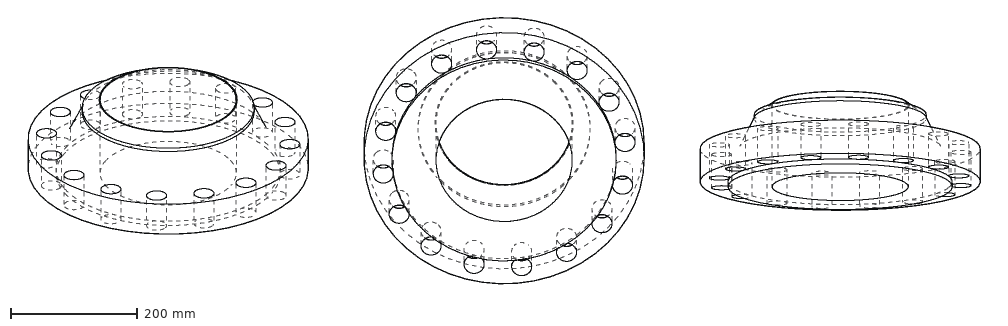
import math

import cadquery as cq


FLANGE_DIAMETER = 444.5
FLANGE_THICKNESS = 53.8
RAISED_FACE_DIAMETER = 355.6
RAISED_FACE_HEIGHT = 7.9

OVERALL_HEIGHT = 131.9
HUB_BASE_DIAMETER = 320.5
NECK_DIAMETER = 273.05
NECK_BOTTOM_Z = 110.9
HUB_FILLET_RADIUS = 3.0
BORE_DIAMETER = 215.9

ROOT_FACE_WIDTH = 1.6
BEVEL_WALL_LIMIT = 19.0
STEEP_BEVEL_ANGLE = math.radians(37.5)
SHALLOW_BEVEL_ANGLE = math.radians(10)
BEVEL_FILLET_RADIUS = 3.0

BOLT_HOLE_COUNT = 16
BOLT_HOLE_DIAMETER = 31.8
BOLT_CIRCLE_DIAMETER = 387.4

flange_radius = FLANGE_DIAMETER / 2
raised_face_radius = RAISED_FACE_DIAMETER / 2
hub_base_radius = HUB_BASE_DIAMETER / 2
neck_radius = NECK_DIAMETER / 2
bore_radius = BORE_DIAMETER / 2
flange_top_z = RAISED_FACE_HEIGHT + FLANGE_THICKNESS
root_face_radius = bore_radius + ROOT_FACE_WIDTH
bevel_break_radius = bore_radius + BEVEL_WALL_LIMIT
bevel_break_z = OVERALL_HEIGHT - (bevel_break_radius - root_face_radius) * math.tan(STEEP_BEVEL_ANGLE)
neck_top_z = bevel_break_z - (neck_radius - bevel_break_radius) * math.tan(SHALLOW_BEVEL_ANGLE)


def edge_circle_at(radius, height):
    """Select the circular edges of one radius, concentric with Z, at one height."""
    margin = 0.1
    outer = cq.selectors.BoxSelector(
        (-radius - margin, -radius - margin, height - margin),
        (radius + margin, radius + margin, height + margin),
        boundingbox=True,
    )
    inner = cq.selectors.BoxSelector(
        (-radius + margin, -radius + margin, height - margin),
        (radius - margin, radius - margin, height + margin),
        boundingbox=True,
    )
    return outer - inner


def flange_body():
    """Revolve the half section, then round the hub root and the bevel break."""
    half_section = [
        (bore_radius, 0),
        (raised_face_radius, 0),
        (raised_face_radius, RAISED_FACE_HEIGHT),
        (flange_radius, RAISED_FACE_HEIGHT),
        (flange_radius, flange_top_z),
        (hub_base_radius, flange_top_z),
        (neck_radius, NECK_BOTTOM_Z),
        (neck_radius, neck_top_z),
        (bevel_break_radius, bevel_break_z),
        (root_face_radius, OVERALL_HEIGHT),
        (bore_radius, OVERALL_HEIGHT),
    ]
    body = cq.Workplane("XZ").polyline(half_section).close().revolve(360, (0, 0), (0, 1))
    body = body.edges(edge_circle_at(hub_base_radius, flange_top_z)).fillet(HUB_FILLET_RADIUS)
    return body.edges(edge_circle_at(bevel_break_radius, bevel_break_z)).fillet(BEVEL_FILLET_RADIUS)


def bolt_holes():
    """Cylinders through the flange ring, evenly spaced with one on +X."""
    return (
        cq.Workplane("XY")
        .polarArray(BOLT_CIRCLE_DIAMETER / 2, 0, 360, BOLT_HOLE_COUNT)
        .circle(BOLT_HOLE_DIAMETER / 2)
        .extrude(flange_top_z)
    )


result = flange_body().cut(bolt_holes())